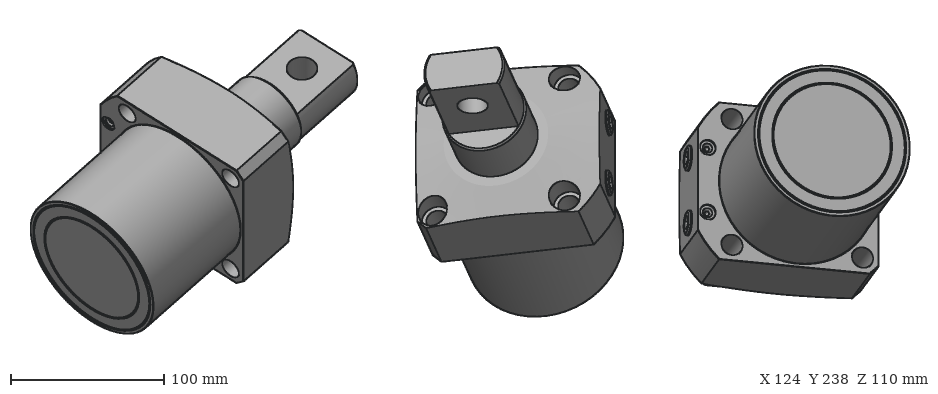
import cadquery as cq
import math

FLANGE_START = 88.0
FLANGE_END = 144.0
SHOULDER_START = 178.5
SHOULDER_END = 180.0
ROD_END = 238.0

BARREL_RADIUS = 52.5
BARREL_ROOT_BEVEL = 0.35
BARREL_END_CHAMFER = 0.35
FLANGE_HALF = 55.0
PORT_FACE_X = -67.0
PORT_CORNER_RADIUS = 76.2
PLAIN_CORNER_CHAMFER = 6.0
FLANGE_EDGE_CHAMFER = 0.35
CONE_START_RADIUS = 35.0
CONE_ANGLE = 15
BOLT_OFFSET = 44.0
BOLT_HOLE_DIAMETER = 14.3
COUNTERBORE_DIAMETER = 20.0
COUNTERBORE_START = 123.8

PORT_HALF_SPACING = 22.5
BLEED_X = -60.2
BLEED_RECESS_RADIUS = 5.2
BLEED_RECESS_DEPTH = 1.5
BLEED_SINK_RADIUS = 3.21
BLEED_HEX_ACROSS = 3.0
BLEED_HEX_DEPTH = 2.0

PISTON_RADIUS = 40.0
ROD_RADIUS = 28.0
LUG_RADIUS = 27.0
LUG_END_CHAMFER = 1.2
LUG_THICKNESS = 27.0
PIN_HOLE_Y = 212.5
PIN_HOLE_DIAMETER = 20.0

RING_RADIUS = 49.5
RING_DEPTH = 12.0
SEAM_CHAMFER = 0.6

PLUG_Y = 110.2
PLUG_RADIUS = 8.3
PLUG_PROJECTION = 2.0
PLUG_INSERTION = 4.8
PLUG_CHAMFER_LENGTH = 1.0
PLUG_FACE_RADIUS = 7.0
PLUG_HEX_ACROSS = 8.0
PLUG_HEX_DEPTH = 4.8

HEX_CORNER_RATIO = 2 / math.sqrt(3)


def revolve_about_y(profile):
    """Solid of revolution about Y from (radius, y) points."""
    return cq.Workplane("XY").polyline(profile).close().revolve(360, (0, 0), (0, 1))


def along_y(y):
    """Sketch plane at height y, drawn in X and Z, extruding toward +Y."""
    return cq.Workplane(cq.Plane((0, y, 0), xDir=(1, 0, 0), normal=(0, 1, 0)))


def flange_block():
    corner_z = math.sqrt(PORT_CORNER_RADIUS**2 - PORT_FACE_X**2)
    corner_x = -math.sqrt(PORT_CORNER_RADIUS**2 - FLANGE_HALF**2)
    bow_angle = (math.atan2(corner_z, PORT_FACE_X) + math.atan2(FLANGE_HALF, corner_x)) / 2
    bow_x = PORT_CORNER_RADIUS * math.cos(bow_angle)
    bow_z = PORT_CORNER_RADIUS * math.sin(bow_angle)
    inset = FLANGE_HALF - PLAIN_CORNER_CHAMFER
    outline = (
        along_y(FLANGE_START)
        .moveTo(PORT_FACE_X, -corner_z)
        .lineTo(PORT_FACE_X, corner_z)
        .threePointArc((bow_x, bow_z), (corner_x, FLANGE_HALF))
        .lineTo(inset, FLANGE_HALF)
        .lineTo(FLANGE_HALF, inset)
        .lineTo(FLANGE_HALF, -inset)
        .lineTo(inset, -FLANGE_HALF)
        .lineTo(corner_x, -FLANGE_HALF)
        .threePointArc((bow_x, -bow_z), (PORT_FACE_X, -corner_z))
        .close()
    )
    cone_drop = (PORT_CORNER_RADIUS - CONE_START_RADIUS) * math.tan(math.radians(CONE_ANGLE))
    envelope = revolve_about_y([
        (0, FLANGE_START),
        (PORT_CORNER_RADIUS, FLANGE_START),
        (PORT_CORNER_RADIUS, FLANGE_END - cone_drop),
        (CONE_START_RADIUS, FLANGE_END),
        (0, FLANGE_END),
    ])
    block = outline.extrude(FLANGE_END - FLANGE_START).faces("<Y").chamfer(FLANGE_EDGE_CHAMFER)
    return block.intersect(envelope)


def bolt_holes():
    corners = [(x, z) for x in (-BOLT_OFFSET, BOLT_OFFSET) for z in (-BOLT_OFFSET, BOLT_OFFSET)]
    through_holes = (
        along_y(FLANGE_START)
        .pushPoints(corners)
        .circle(BOLT_HOLE_DIAMETER / 2)
        .extrude(FLANGE_END - FLANGE_START)
    )
    counterbores = (
        along_y(COUNTERBORE_START)
        .pushPoints(corners)
        .circle(COUNTERBORE_DIAMETER / 2)
        .extrude(FLANGE_END - COUNTERBORE_START)
    )
    return through_holes.union(counterbores)


def bleed_socket(z):
    """Round recess, countersink and hexagon socket with a conical bottom."""
    hex_radius = BLEED_HEX_ACROSS / 2
    floor = BLEED_RECESS_DEPTH
    sink_end = floor + BLEED_SINK_RADIUS - hex_radius
    hex_end = floor + BLEED_HEX_DEPTH
    turned = revolve_about_y([
        (0, 0),
        (BLEED_RECESS_RADIUS, 0),
        (BLEED_RECESS_RADIUS, floor),
        (BLEED_SINK_RADIUS, floor),
        (hex_radius, sink_end),
        (hex_radius, hex_end),
        (0, hex_end + hex_radius),
    ])
    hexagon = along_y(floor).polygon(6, BLEED_HEX_ACROSS * HEX_CORNER_RATIO).extrude(BLEED_HEX_DEPTH)
    return turned.union(hexagon).translate((BLEED_X, FLANGE_START, z))


def make_housing():
    barrel = revolve_about_y([
        (0, 0),
        (BARREL_RADIUS - BARREL_END_CHAMFER, 0),
        (BARREL_RADIUS, BARREL_END_CHAMFER),
        (BARREL_RADIUS, FLANGE_START - BARREL_ROOT_BEVEL),
        (BARREL_RADIUS + BARREL_ROOT_BEVEL, FLANGE_START),
        (0, FLANGE_START),
    ])
    housing = barrel.union(flange_block()).cut(bolt_holes())
    bore = revolve_about_y([
        (0, 0),
        (RING_RADIUS + SEAM_CHAMFER, 0),
        (RING_RADIUS, SEAM_CHAMFER),
        (RING_RADIUS, RING_DEPTH),
        (PISTON_RADIUS, RING_DEPTH),
        (PISTON_RADIUS, FLANGE_START),
        (ROD_RADIUS, FLANGE_START),
        (ROD_RADIUS, FLANGE_END),
        (0, FLANGE_END),
    ])
    housing = housing.cut(bore)
    for z in (-PORT_HALF_SPACING, PORT_HALF_SPACING):
        plug_hole = (
            cq.Workplane("YZ", origin=(PORT_FACE_X, PLUG_Y, z)).circle(PLUG_RADIUS).extrude(PLUG_INSERTION)
        )
        housing = housing.cut(plug_hole).cut(bleed_socket(z))
    return housing


def make_piston_rod():
    rod = revolve_about_y([
        (0, 0),
        (PISTON_RADIUS - SEAM_CHAMFER, 0),
        (PISTON_RADIUS, SEAM_CHAMFER),
        (PISTON_RADIUS, FLANGE_START),
        (ROD_RADIUS, FLANGE_START),
        (ROD_RADIUS, SHOULDER_START),
        (LUG_RADIUS, SHOULDER_END),
        (LUG_RADIUS, ROD_END - LUG_END_CHAMFER),
        (LUG_RADIUS - LUG_END_CHAMFER, ROD_END),
        (0, ROD_END),
    ])
    lug_length = ROD_END - SHOULDER_END
    lug_zone = along_y(SHOULDER_END).circle(ROD_RADIUS).extrude(lug_length)
    lug_slab = along_y(SHOULDER_END).rect(2 * ROD_RADIUS, LUG_THICKNESS).extrude(lug_length)
    pin_hole = (
        cq.Workplane("XY", origin=(0, PIN_HOLE_Y, 0))
        .circle(PIN_HOLE_DIAMETER / 2)
        .extrude(LUG_THICKNESS, both=True)
    )
    return rod.cut(lug_zone.cut(lug_slab)).cut(pin_hole)


def make_retaining_ring():
    return revolve_about_y([
        (PISTON_RADIUS, SEAM_CHAMFER),
        (PISTON_RADIUS + SEAM_CHAMFER, 0),
        (RING_RADIUS - SEAM_CHAMFER, 0),
        (RING_RADIUS, SEAM_CHAMFER),
        (RING_RADIUS, RING_DEPTH),
        (PISTON_RADIUS, RING_DEPTH),
    ])


def make_port_plug(z):
    """Plug turned about X, with a chamfered head and a hexagon socket."""
    head_x = PORT_FACE_X - PLUG_PROJECTION
    tip_x = PORT_FACE_X + PLUG_INSERTION
    plug = (
        cq.Workplane("XY")
        .polyline([
            (head_x, 0),
            (head_x, PLUG_FACE_RADIUS),
            (head_x + PLUG_CHAMFER_LENGTH, PLUG_RADIUS),
            (tip_x, PLUG_RADIUS),
            (tip_x, 0),
        ])
        .close()
        .revolve(360, (0, 0), (1, 0))
    )
    socket = (
        cq.Workplane("YZ", origin=(head_x, 0, 0))
        .transformed(rotate=(0, 0, 90))
        .polygon(6, PLUG_HEX_ACROSS * HEX_CORNER_RATIO)
        .extrude(PLUG_HEX_DEPTH)
    )
    return plug.cut(socket).translate((0, PLUG_Y, z))


housing = make_housing()
piston_rod = make_piston_rod()
retaining_ring = make_retaining_ring()
port_plugs = [make_port_plug(z) for z in (-PORT_HALF_SPACING, PORT_HALF_SPACING)]

result = cq.Compound.makeCompound([
    housing.val(),
    piston_rod.val(),
    retaining_ring.val(),
    *[plug.val() for plug in port_plugs],
])